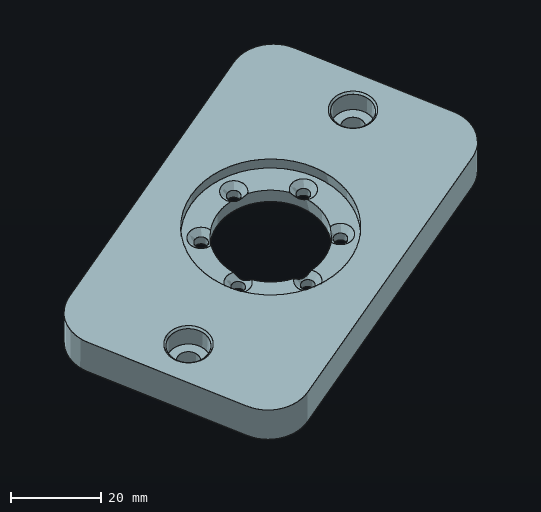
import cadquery as cq

width = 60.0
length = 98.0
thickness = 10.0
corner_radius = 10.0

recess_diameter = 40.0
recess_depth = 3.0
bore_diameter = 26.95

ring_hole_count = 6
ring_radius = 15.5
first_hole_angle = 90
ring_hole_diameter = 3.2
ring_sink_diameter = 6.3
ring_sink_angle = 90

mount_spacing = 78.0
mount_hole_diameter = 5.5
mount_bore_diameter = 10.0
mount_bore_depth = 5.7
mount_chamfer = 0.5
mount_chamfer_angle = 90


def make_plate():
    """Flat plate with rounded corners, bottom face on Z = 0."""
    plate = cq.Workplane("XY").box(width, length, thickness, centered=(True, True, False))
    return plate.edges("|Z").fillet(corner_radius)


def cut_center(plate):
    """Through bore with the same shallow recess in the top and bottom faces."""
    plate = plate.faces(">Z").workplane().cboreHole(bore_diameter, recess_diameter, recess_depth)
    lower_recess = cq.Workplane("XY").circle(recess_diameter / 2).extrude(recess_depth)
    return plate.cut(lower_recess)


def cut_ring_holes(plate):
    """Countersunk holes evenly spaced in the recess floor, the first on +Y."""
    floor = plate.faces(">Z").workplane(offset=-recess_depth)
    ring = floor.polarArray(ring_radius, first_hole_angle, 360, ring_hole_count)
    return ring.cskHole(ring_hole_diameter, ring_sink_diameter, ring_sink_angle)


def cut_mount_holes(plate):
    """Counterbored holes with a chamfered rim, on the long centre line."""
    centers = [(0, -mount_spacing / 2), (0, mount_spacing / 2)]
    plate = (
        plate.faces(">Z").workplane().pushPoints(centers)
        .cboreHole(mount_hole_diameter, mount_bore_diameter, mount_bore_depth)
    )
    rim_diameter = mount_bore_diameter + 2 * mount_chamfer
    return (
        plate.faces(">Z").workplane().pushPoints(centers)
        .cskHole(mount_hole_diameter, rim_diameter, mount_chamfer_angle)
    )


result = cut_mount_holes(cut_ring_holes(cut_center(make_plate())))